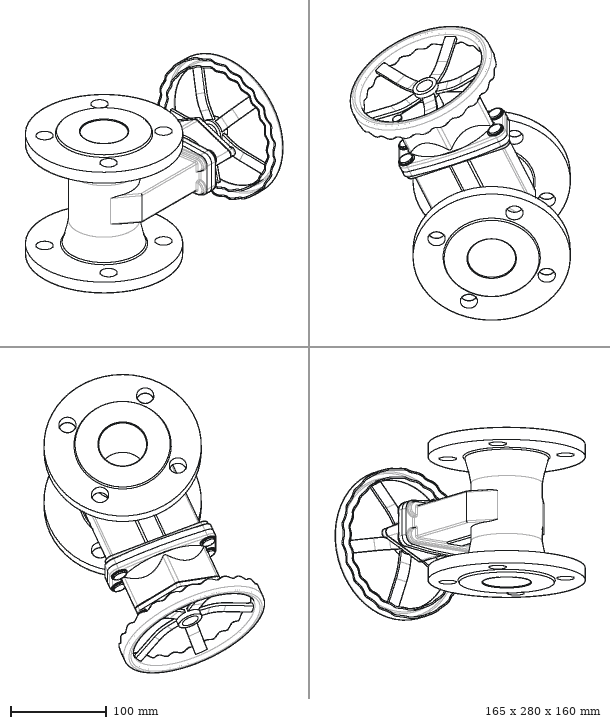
import cadquery as cq
import math


flange_dia = 165.0
flange_outer_z = 72.8
flange_inner_z = 59.5
face_z = 75.3
face_dia = 102.0
face_chamfer = 1.0
bore_dia = 50.0
bore_chamfer = 0.8
barrel_dia = 75.0
barrel_half_length = 31.0
neck_mid_radius = 40.3
neck_mid_z = 45.0
neck_end_radius = 44.0
neck_fillet = 1.7
bolt_hole_dia = 18.0
bolt_circle_dia = 125.0
bolt_count = 4

box_half_x = 50.5
box_half_z = 17.0
box_taper_start_y = 2.2
box_tip_x = 28.8
box_edge_fillet = 1.7
box_foot_fillet = 1.5
rib_base_half_x = 11.5
rib_top_half_x = 9.0
rib_half_z = 18.5

joint_y = 102.8
body_joint_thickness = 7.0
bonnet_joint_thickness = 7.8
corner_x = 50.5
corner_z = 14.0
corner_radius = 9.8
joint_half_z = 27.5
joint_back_fillet = 2.2
pad_radius = 7.8
pad_height = 5.0
pad_fillet = 1.0
pad_foot_fillet = 0.8
boss_dia = 14.3
boss_height = 2.8
boss_foot_dia = 17.5
boss_foot_height = 1.0

housing_center_x = 42.8
housing_center_z = 20.2
housing_corner_radius = 5.0
dome_top_y = 124.0
dome_top_radius = 52.5
dome_draft = 25.0
gasket_y = 147.8
gasket_thickness = 0.8
lid_top_y = 153.7
lug_height = 1.7

gate_radius = 29.5
gate_thickness = 8.5
gate_top_y = 44.8
stem_dia = 18.0

wheel_dia = 160.0
wheel_inner_dia = 138.3
wheel_wall = 1.7
wheel_back_y = 280 - flange_dia / 2
wheel_front_y = wheel_back_y - 17.5
rim_outer_fillet = 4.2
rim_floor_fillet = 1.5
scallop_count = 24
scallop_depth = 3.0
rim_trim = 0.8
hub_dia = 26.5
hub_front_y = 172.0
hub_back_y = 183.5
spoke_front_y = 174.7
spoke_thickness = 3.5
spoke_width = 13.5
spoke_bend_start = 23.5
spoke_bend_end = 41.7
spoke_slope = 19.0
spoke_count = 5
first_spoke_angle = 46.0

barrel_radius = barrel_dia / 2
body_joint_y = joint_y - body_joint_thickness
bonnet_joint_back_y = joint_y + bonnet_joint_thickness
gasket_top_y = gasket_y + gasket_thickness
joint_corners = [(sx * corner_x, sz * corner_z) for sx in (-1, 1) for sz in (-1, 1)]


def plane_facing_wheel(y):
    """Workplane at height y along the stem axis, with +Y as its normal."""
    return cq.Workplane(cq.Plane(origin=(0, y, 0), xDir=(1, 0, 0), normal=(0, 1, 0)))


def joint_outline(y):
    """Outline shared by both joint flanges: round corners, slightly bowed long sides."""
    right = corner_x + corner_radius
    side = corner_z + corner_radius
    diagonal = corner_radius * math.sqrt(0.5)
    near_x = corner_x + diagonal
    near_z = corner_z + diagonal
    return (
        plane_facing_wheel(y)
        .moveTo(right, -corner_z)
        .lineTo(right, corner_z)
        .threePointArc((near_x, near_z), (corner_x, side))
        .threePointArc((0, joint_half_z), (-corner_x, side))
        .threePointArc((-near_x, near_z), (-right, corner_z))
        .lineTo(-right, -corner_z)
        .threePointArc((-near_x, -near_z), (-corner_x, -side))
        .threePointArc((0, -joint_half_z), (corner_x, -side))
        .threePointArc((near_x, -near_z), (right, -corner_z))
        .close()
    )


def housing_prism(y_start, y_end):
    """Rhombic prism with rounded corners, used by the housing, gasket and lid."""
    return (
        plane_facing_wheel(y_start)
        .polyline(
            [
                (housing_center_x, 0),
                (0, housing_center_z),
                (-housing_center_x, 0),
                (0, -housing_center_z),
            ]
        )
        .close()
        .offset2D(housing_corner_radius)
        .extrude(y_end - y_start)
    )


def stem_shape():
    return plane_facing_wheel(gate_top_y).circle(stem_dia / 2).extrude(hub_back_y - gate_top_y)


def gate_shape():
    """Flat gate with a round lower end, closing the bore at mid height."""
    return (
        cq.Workplane("XY")
        .moveTo(-gate_radius, gate_top_y)
        .lineTo(-gate_radius, 0)
        .threePointArc((0, -gate_radius), (gate_radius, 0))
        .lineTo(gate_radius, gate_top_y)
        .close()
        .extrude(gate_thickness / 2, both=True)
    )


def pipe_end(side):
    """Neck, flange and raised face at the upper (side = 1) or lower (side = -1) end."""
    return (
        cq.Workplane("XZ")
        .moveTo(0, side * barrel_half_length)
        .lineTo(barrel_radius, side * barrel_half_length)
        .threePointArc(
            (neck_mid_radius, side * neck_mid_z),
            (neck_end_radius, side * (flange_inner_z - neck_fillet)),
        )
        .lineTo(neck_end_radius + neck_fillet, side * flange_inner_z)
        .lineTo(flange_dia / 2, side * flange_inner_z)
        .lineTo(flange_dia / 2, side * flange_outer_z)
        .lineTo(face_dia / 2, side * flange_outer_z)
        .lineTo(face_dia / 2 - face_chamfer, side * face_z)
        .lineTo(0, side * face_z)
        .close()
        .revolve(360, (0, 0, 0), (0, 1, 0))
    )


def pipe_run():
    """Flanged pipe run, still without its bore."""
    barrel = cq.Workplane("XY").circle(barrel_radius).extrude(barrel_half_length, both=True)
    return barrel.union(pipe_end(1)).union(pipe_end(-1))


def neck_box():
    """Box from the barrel to the joint, its tapered front end tangent to the barrel."""
    tip_y = -math.sqrt(barrel_radius**2 - box_tip_x**2)
    box = (
        cq.Workplane("XY")
        .polyline(
            [
                (-box_half_x, body_joint_y),
                (-box_half_x, box_taper_start_y),
                (-box_tip_x, tip_y),
                (box_tip_x, tip_y),
                (box_half_x, box_taper_start_y),
                (box_half_x, body_joint_y),
            ]
        )
        .close()
        .extrude(box_half_z, both=True)
        .faces("|Z")
        .edges("not(<Y or >Y)")
        .fillet(box_edge_fillet)
    )
    return box


def guide_ribs():
    """Raised ribs with sloping sides along the middle of the box, above and below."""
    return (
        cq.Workplane("XZ")
        .polyline(
            [
                (rib_base_half_x, box_half_z),
                (rib_top_half_x, rib_half_z),
                (-rib_top_half_x, rib_half_z),
                (-rib_base_half_x, box_half_z),
                (-rib_base_half_x, -box_half_z),
                (-rib_top_half_x, -rib_half_z),
                (rib_top_half_x, -rib_half_z),
                (rib_base_half_x, -box_half_z),
            ]
        )
        .close()
        .extrude(-body_joint_y)
    )


def body_joint():
    """Body side of the joint: flange with a long raised pad along each long side."""
    pads = (
        plane_facing_wheel(body_joint_y)
        .pushPoints([(0, corner_z), (0, -corner_z)])
        .slot2D(2 * (corner_x + pad_radius), 2 * pad_radius)
        .extrude(-pad_height)
        .faces("<Y")
        .edges()
        .fillet(pad_fillet)
    )
    joint = joint_outline(body_joint_y).extrude(body_joint_thickness).union(pads)
    pad_side = joint.faces("|Y").faces(
        cq.selectors.NearestToPointSelector((corner_x + corner_radius, body_joint_y, 0))
    )
    foot_edges = [edge for wire in pad_side.val().innerWires() for edge in wire.Edges()]
    return joint.newObject(foot_edges).fillet(pad_foot_fillet)


def joint_on_box():
    """Neck box and joint in one piece, with a fillet where the box meets the pads."""
    pad_face_y = body_joint_y - pad_height
    margin = 0.3
    foot_zone = cq.selectors.BoxSelector(
        (-box_half_x - margin, pad_face_y - margin, -box_half_z - margin),
        (box_half_x + margin, pad_face_y + margin, box_half_z + margin),
        boundingbox=True,
    )
    return body_joint().union(neck_box()).edges(foot_zone).fillet(box_foot_fillet)


def flange_bolt_holes():
    """Bolt holes through both pipe flanges, straddling the X and Y axes."""
    thickness = flange_outer_z - flange_inner_z
    upper = (
        cq.Workplane("XY")
        .workplane(offset=flange_inner_z)
        .polarArray(bolt_circle_dia / 2, 180 / bolt_count, 360, bolt_count)
        .circle(bolt_hole_dia / 2)
        .extrude(thickness)
    )
    return upper.union(upper.mirror("XY"))


def body_shape():
    body = pipe_run().union(joint_on_box()).union(guide_ribs())
    bore = cq.Workplane("XY").circle(bore_dia / 2).extrude(face_z, both=True)
    bore_rims = cq.selectors.RadiusNthSelector(0)
    body = body.cut(bore).faces("<Z or >Z").edges(bore_rims).chamfer(bore_chamfer)
    return body.cut(flange_bolt_holes()).cut(gate_shape()).cut(stem_shape())


def dome():
    """Drafted lens-shaped foot where the housing spreads out onto the joint flange."""
    height = dome_top_y - bonnet_joint_back_y
    face_angle = math.atan2(housing_center_x, housing_center_z)
    face_distance = housing_center_x * math.cos(face_angle) + housing_corner_radius
    arc_center_z = (face_distance - dome_top_radius) / math.sin(face_angle)
    foot_radius = dome_top_radius + height * math.tan(math.radians(dome_draft))

    def cone(side):
        return cq.Workplane(
            cq.Solid.makeCone(
                foot_radius,
                dome_top_radius,
                height,
                pnt=cq.Vector(0, bonnet_joint_back_y, side * arc_center_z),
                dir=cq.Vector(0, 1, 0),
            )
        )

    return cone(1).intersect(cone(-1))


def bonnet_shape():
    flange = (
        joint_outline(joint_y)
        .extrude(bonnet_joint_thickness)
        .faces(">Y")
        .edges()
        .fillet(joint_back_fillet)
    )
    feet = (
        plane_facing_wheel(bonnet_joint_back_y)
        .pushPoints(joint_corners)
        .circle(boss_foot_dia / 2)
        .extrude(boss_foot_height)
    )
    bosses = (
        plane_facing_wheel(bonnet_joint_back_y)
        .pushPoints(joint_corners)
        .circle(boss_dia / 2)
        .extrude(boss_height)
    )
    housing = housing_prism(joint_y, gasket_y)
    return flange.union(feet).union(bosses).union(housing).union(dome()).cut(stem_shape())


def gasket_shape():
    return housing_prism(gasket_y, gasket_top_y).cut(stem_shape())


def lid_shape():
    """Housing cover with a low round lug on each side corner."""
    lugs = (
        plane_facing_wheel(lid_top_y)
        .pushPoints([(housing_center_x, 0), (-housing_center_x, 0)])
        .circle(housing_corner_radius)
        .extrude(lug_height)
    )
    return housing_prism(gasket_top_y, lid_top_y).union(lugs).cut(stem_shape())


def scallop_cutter():
    """Cutter along +X for one wave of the rim edge, from crest to crest."""
    half_width = wheel_dia / 2 * math.tan(math.pi / scallop_count)
    along_rim = (0, 1)
    return (
        cq.Workplane("YZ")
        .moveTo(wheel_front_y, -half_width)
        .spline(
            [(wheel_front_y + scallop_depth, 0), (wheel_front_y, half_width)],
            tangents=[along_rim, along_rim, along_rim],
            includeCurrent=True,
        )
        .lineTo(wheel_front_y - 2 * rim_trim, half_width)
        .lineTo(wheel_front_y - 2 * rim_trim, -half_width)
        .close()
        .extrude(wheel_dia)
    )


def wheel_rim():
    """Channel-section rim, open toward the valve, with scalloped wall edges."""
    mid_radius = (wheel_dia + wheel_inner_dia) / 4
    rim_width = (wheel_dia - wheel_inner_dia) / 2
    depth = wheel_back_y - wheel_front_y
    rim = (
        plane_facing_wheel(wheel_front_y - rim_trim)
        .circle(mid_radius + rim_width / 2)
        .circle(mid_radius - rim_width / 2)
        .extrude(depth + rim_trim)
        .faces(">Y")
        .edges()
        .fillet(rim_outer_fillet)
    )
    channel = (
        plane_facing_wheel(wheel_front_y - rim_trim)
        .circle(mid_radius + rim_width / 2 - wheel_wall)
        .circle(mid_radius - rim_width / 2 + wheel_wall)
        .extrude(depth + rim_trim - wheel_wall)
        .faces(">Y")
        .edges()
        .fillet(rim_floor_fillet)
    )
    rim = rim.cut(channel)
    for i in range(scallop_count):
        angle = (i + 0.5) * 360 / scallop_count
        rim = rim.cut(scallop_cutter().rotate((0, 0, 0), (0, 1, 0), angle))
    return rim


def spoke():
    """Spoke along +X: flat at the hub, bent back toward the rim."""
    slope = math.radians(spoke_slope)
    bend_radius = (spoke_bend_end - spoke_bend_start) / math.sin(slope)
    end_radius = (wheel_inner_dia + wheel_wall) / 2

    def bend_point(angle, offset):
        radius = bend_radius - offset
        x = spoke_bend_start + radius * math.sin(angle)
        y = spoke_front_y + bend_radius - radius * math.cos(angle)
        return (x, y)

    def rim_point(offset):
        x, y = bend_point(slope, offset)
        return (end_radius, y + (end_radius - x) * math.tan(slope))

    return (
        cq.Workplane("XY")
        .moveTo(0, spoke_front_y)
        .lineTo(*bend_point(0, 0))
        .threePointArc(bend_point(slope / 2, 0), bend_point(slope, 0))
        .lineTo(*rim_point(0))
        .lineTo(*rim_point(spoke_thickness))
        .lineTo(*bend_point(slope, spoke_thickness))
        .threePointArc(bend_point(slope / 2, spoke_thickness), bend_point(0, spoke_thickness))
        .lineTo(0, spoke_front_y + spoke_thickness)
        .close()
        .extrude(spoke_width / 2, both=True)
    )


def handwheel_shape():
    wheel = wheel_rim()
    hub = plane_facing_wheel(hub_front_y).circle(hub_dia / 2).extrude(hub_back_y - hub_front_y)
    wheel = wheel.union(hub)
    for i in range(spoke_count):
        angle = first_spoke_angle + i * 360 / spoke_count
        wheel = wheel.union(spoke().rotate((0, 0, 0), (0, 1, 0), -angle))
    return wheel.cut(stem_shape())


body = body_shape()
gate = gate_shape()
stem = stem_shape()
bonnet = bonnet_shape()
gasket = gasket_shape()
lid = lid_shape()
handwheel = handwheel_shape()

result = cq.Compound.makeCompound(
    [
        body.val(),
        gate.val(),
        stem.val(),
        bonnet.val(),
        gasket.val(),
        lid.val(),
        handwheel.val(),
    ]
)